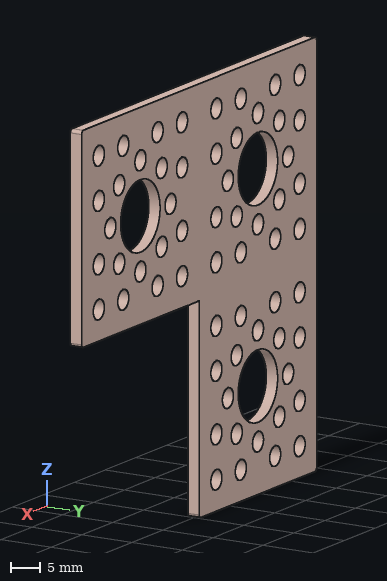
import cadquery as cq

SIDE = 76.2
THICKNESS = 2.3
CORNER_RADIUS = 0.6

BORE_DIAMETER = 12.7
SMALL_DIAMETER = 3.6
RING_RADIUS = 9.75
RING_COUNT = 8
INNER_OFFSET = 5.6
GRID_SPACING = 7.9
OUTER_OFFSET = INNER_OFFSET + GRID_SPACING

HALF_SIDE = SIDE / 2
CELL_OFFSET = SIDE / 4
CELL_CENTRES = [
    (-CELL_OFFSET, CELL_OFFSET),
    (CELL_OFFSET, CELL_OFFSET),
    (-CELL_OFFSET, -CELL_OFFSET),
]


def back_face(x=0.0, z=0.0):
    """Workplane on the +Y face of the plate, facing -Y, centred at (x, z)."""
    return cq.Workplane("XZ", origin=(x, THICKNESS / 2, z))


def make_plate():
    """L-shaped plate with every corner rounded except the inner one."""
    outline = [
        (-HALF_SIDE, -HALF_SIDE),
        (0, -HALF_SIDE),
        (0, 0),
        (HALF_SIDE, 0),
        (HALF_SIDE, HALF_SIDE),
        (-HALF_SIDE, HALF_SIDE),
    ]
    plate = back_face().polyline(outline).close().extrude(THICKNESS)
    return plate.edges("|Y").edges("<X or >X or <Z").fillet(CORNER_RADIUS)


def make_bore(x, z):
    """Large hole in the middle of a cell."""
    return back_face(x, z).circle(BORE_DIAMETER / 2).extrude(THICKNESS)


def make_ring(x, z):
    """Small holes on a circle around the bore."""
    ring = back_face(x, z).polarArray(RING_RADIUS, 0, 360, RING_COUNT)
    return ring.circle(SMALL_DIAMETER / 2).extrude(THICKNESS)


def make_grid(x, z):
    """Four by four grid of small holes, without the four innermost places."""
    offsets = (-OUTER_OFFSET, -INNER_OFFSET, INNER_OFFSET, OUTER_OFFSET)
    points = [
        (dx, dz)
        for dx in offsets
        for dz in offsets
        if OUTER_OFFSET in (abs(dx), abs(dz))
    ]
    return back_face(x, z).pushPoints(points).circle(SMALL_DIAMETER / 2).extrude(THICKNESS)


result = make_plate()
for cell_x, cell_z in CELL_CENTRES:
    result = result.cut(make_bore(cell_x, cell_z))
    result = result.cut(make_ring(cell_x, cell_z))
    result = result.cut(make_grid(cell_x, cell_z))